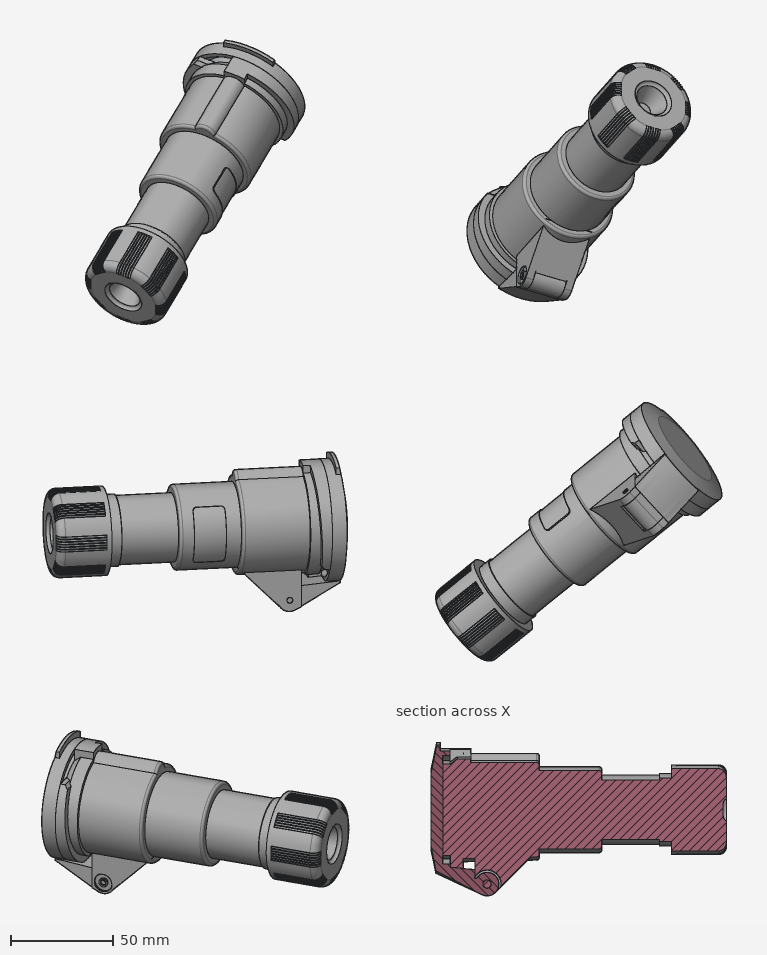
import cadquery as cq
import math


length = 144.3
gland_front = 27.0
gland_neck_front = 32.8
grip_front = 60.9
waist_front = 91.4
barrel_front = 124.8
collar_front = 131.5
lid_seat = 135.0
lid_cavity_floor = 138.5
lid_rim_front = 142.2

gland_radius = 22.0
gland_neck_radius = 17.8
grip_radius = 17.0
waist_radius = 21.1
barrel_radius = 24.7
collar_radius = 26.4
nose_radius = 24.0
lid_radius = 30.0
lid_cavity_radius = 27.9
lid_face_radius = 19.8
shoulder_fillet = 1.5

gland_fillet = 4.0
bore_radius = 8.2
bore_floor_radius = 4.3
bore_depth = 11.5
bore_lip = 1.7
knurl_groups = 8
knurl_grooves = 6
knurl_pitch = 1.3
knurl_width = 1.0
knurl_depth = 0.5
knurl_base_radius = gland_radius - gland_fillet - knurl_depth
knurl_length = 24.5

rib_radius = 6.0
rib_center_z = 21.5
key_width = 11.0
label_rear = 68.1
label_front = 84.0
label_height = 28.0
label_depth = 0.5
label_corner = 1.9
collar_gap_width = 20.2
collar_gap_radius = 25.4

ramp_end_z = 18.6
ramp_end_rear = 132.4
ramp_chamfer = 1.7
ramp_start_rear = 128.3

hinge_width = 25.1
pin_y = 116.9
pin_z = -36.3
hinge_radius = 5.8
pin_radius = 2.2
pin_overhang = 0.5
pin_tip_radius = 1.5
pin_socket_radius = 1.3
pin_socket_depth = 0.7
ear_front = 122.8
ear_rear_angle = 45.0
bracket_top_z = -18.8
knuckle_width = 17.0
knuckle_clearance = 1.0
knuckle_opening_top = pin_z + 2.9
pin_recess_radius = 4.6
pin_recess_depth = 1.2

arm_slope = 25.0
arm_top_front_z = -27.7
arm_top_rear_z = -29.2
arm_edge_front_z = -28.6
arm_edge_rear_z = -39.5
tab_radius = 32.98
tab_width = 26.8
tab_rear = 139.7
tab_center_x = 0.5


def lathe(points):
    """Solid of revolution about Y from (radius, y) points."""
    return cq.Workplane("XY").polyline(points).close().revolve(360, (0, 0, 0), (0, 1, 0))


def cylinder(radius, rear, front):
    """Cylinder on the Y axis between two stations."""
    return lathe([(0, rear), (radius, rear), (radius, front), (0, front)])


def side_plate(points, x_start, x_end):
    """Outline of (y, z) points extruded from x_start to x_end."""
    return cq.Workplane("YZ", origin=(x_start, 0, 0)).polyline(points).close().extrude(x_end - x_start)


def hinge_cylinder(radius, x_start, x_end):
    """Cylinder on the hinge pin axis."""
    return cq.Workplane("YZ", origin=(x_start, pin_y, pin_z)).circle(radius).extrude(x_end - x_start)


def hinge_tangent(angle):
    """Point (y, z) of the hinge round, turned by an angle from its lowest point towards +Y."""
    return (pin_y + hinge_radius * math.sin(angle), pin_z - hinge_radius * math.cos(angle))


def rounded_nut(radius):
    """Cable nut blank of the given radius, rounded at its cable end."""
    return cylinder(radius, 0, gland_front).faces("<Y").edges().fillet(gland_fillet)


def make_knurl_group():
    """Bars, side by side at the top of the nut, that cut one group of grooves."""
    middle = (knurl_grooves - 1) / 2
    centers = [((index - middle) * knurl_pitch, knurl_length / 2) for index in range(knurl_grooves)]
    return (
        cq.Workplane("XY", origin=(0, 0, knurl_base_radius))
        .pushPoints(centers)
        .rect(knurl_width, knurl_length)
        .extrude(gland_radius)
        .cut(rounded_nut(gland_radius - knurl_depth))
    )


def make_gland():
    """Rounded cable nut with knurl groups and a tapered cable bore."""
    nut = rounded_nut(gland_radius)
    knurl_group = make_knurl_group()
    for group in range(knurl_groups):
        angle = group * 360 / knurl_groups
        nut = nut.cut(knurl_group.rotate((0, 0, 0), (0, 1, 0), angle))
    bore = (
        cq.Workplane("XY")
        .lineTo(bore_radius + bore_lip, 0)
        .radiusArc((bore_radius, bore_lip), -bore_lip)
        .lineTo(bore_floor_radius, bore_depth)
        .lineTo(0, bore_depth)
        .close()
        .revolve(360, (0, 0, 0), (0, 1, 0))
    )
    return nut.cut(bore)


def make_waist():
    """Middle section with a shallow label recess wrapped round its +X side."""
    waist = cylinder(waist_radius, grip_front, waist_front).faces("<Y").edges().fillet(shoulder_fillet)
    window = (
        cq.Workplane("YZ")
        .center((label_rear + label_front) / 2, 0)
        .rect(label_front - label_rear, label_height)
        .extrude(lid_radius)
        .edges("|X")
        .fillet(label_corner)
    )
    return waist.cut(window.cut(cylinder(waist_radius - label_depth, grip_front, waist_front)))


def make_barrel():
    """Front barrel with the rounded rib along its top."""
    barrel = cylinder(barrel_radius, waist_front, barrel_front)
    rib = (
        cq.Workplane("XZ", origin=(0, barrel_front, rib_center_z))
        .circle(rib_radius)
        .extrude(barrel_front - waist_front)
    )
    return barrel.union(rib).faces("<Y").edges().fillet(shoulder_fillet)


def make_collar():
    """Collar thinned over the hinge, tapering to the nose inside the lid."""
    collar = lathe([
        (0, barrel_front),
        (collar_radius, barrel_front),
        (collar_radius, collar_front),
        (nose_radius, lid_seat),
        (nose_radius, lid_cavity_floor),
        (0, lid_cavity_floor),
    ])
    hinge_gap = (
        cq.Workplane("XY", origin=(0, ear_front, -lid_radius))
        .box(collar_gap_width, lid_seat - ear_front, lid_radius, centered=(True, False, False))
    )
    thin_wall = cylinder(collar_gap_radius, ear_front, collar_front).intersect(hinge_gap)
    gap_clearance = hinge_gap.cut(cylinder(collar_gap_radius, ear_front, lid_seat))
    return collar.cut(gap_clearance).union(thin_wall)


def make_ramps():
    """Two bayonet ramps half a turn apart, and the key at the top."""
    envelope = cylinder(lid_radius, barrel_front, lid_seat).cut(cylinder(nose_radius, barrel_front, lid_seat))
    ramp = side_plate(
        [
            (lid_seat, ramp_end_z),
            (ramp_end_rear, ramp_end_z),
            (ramp_end_rear - ramp_chamfer, ramp_end_z - ramp_chamfer),
            (ramp_start_rear, -lid_radius),
            (lid_seat, -lid_radius),
        ],
        -lid_radius,
        0,
    )
    key = cq.Workplane("XY", origin=(0, barrel_front, 0)).box(
        key_width, lid_seat - barrel_front, lid_radius, centered=(True, False, False)
    )
    opposite_ramp = ramp.rotate((0, 0, 0), (0, 1, 0), 180)
    return ramp.union(opposite_ramp).union(key).intersect(envelope)


def make_bracket():
    """Hinge bracket below the barrel, rounded about the pin axis."""
    front = math.radians(arm_slope)
    rear = math.radians(ear_rear_angle)
    front_tangent = hinge_tangent(front)
    rear_tangent = hinge_tangent(-rear)
    front_corner_z = front_tangent[1] + (ear_front - front_tangent[0]) * math.tan(front)
    rear_top_y = rear_tangent[0] - (bracket_top_z - rear_tangent[1]) / math.tan(rear)
    return (
        cq.Workplane("YZ", origin=(-hinge_width / 2, 0, 0))
        .moveTo(ear_front, bracket_top_z)
        .lineTo(ear_front, front_corner_z)
        .lineTo(*front_tangent)
        .threePointArc((pin_y, pin_z - hinge_radius), rear_tangent)
        .lineTo(rear_top_y, bracket_top_z)
        .close()
        .extrude(hinge_width)
    )


def make_knuckle_pocket():
    """Clearance for the lid knuckle, open towards the lid."""
    half_width = knuckle_width / 2
    pocket = hinge_cylinder(hinge_radius + knuckle_clearance, -half_width, half_width)
    opening = side_plate(
        [
            (pin_y, pin_z),
            (pin_y, knuckle_opening_top),
            (ear_front, knuckle_opening_top),
            (ear_front, pin_z - 2 * hinge_radius),
            (pin_y, pin_z - 2 * hinge_radius),
        ],
        -half_width,
        half_width,
    )
    return pocket.union(opening)


def make_arm():
    """Lid arm: a wedge with a rounded underside, ending in the hinge knuckle."""
    half_width = hinge_width / 2
    half_knuckle = knuckle_width / 2
    front_tangent = hinge_tangent(math.radians(arm_slope))
    slope = math.tan(math.radians(arm_slope))
    rear_bottom_z = front_tangent[1] + (ear_front - front_tangent[0]) * slope
    front_bottom_z = front_tangent[1] + (lid_rim_front - front_tangent[0]) * slope

    def arm_section(y, top_z, edge_z, bottom_z):
        return (
            cq.Workplane("XZ", origin=(0, y, 0))
            .moveTo(-half_width, top_z)
            .lineTo(-half_width, edge_z)
            .threePointArc((0, bottom_z), (half_width, edge_z))
            .lineTo(half_width, top_z)
            .close()
            .wires()
            .val()
        )

    wedge = cq.Solid.makeLoft(
        [
            arm_section(lid_rim_front, arm_top_front_z, arm_edge_front_z, front_bottom_z),
            arm_section(ear_front, arm_top_rear_z, arm_edge_rear_z, rear_bottom_z),
        ],
        True,
    )
    neck = side_plate(
        [
            (pin_y, pin_z),
            (pin_y, knuckle_opening_top),
            (ear_front, knuckle_opening_top),
            (ear_front, rear_bottom_z),
            front_tangent,
        ],
        -half_knuckle,
        half_knuckle,
    )
    knuckle = hinge_cylinder(hinge_radius, -half_knuckle, half_knuckle)
    pin_hole = hinge_cylinder(pin_radius, -half_knuckle, half_knuckle)
    return cq.Workplane(obj=wedge).union(neck).union(knuckle).cut(pin_hole)


def coned_disc(radius, rear, face_slope):
    """Disc whose front is flat in the middle and falls away as a cone to its rim."""
    rim_front = length - (radius - lid_face_radius) * face_slope
    return lathe([
        (0, rear),
        (radius, rear),
        (radius, rim_front),
        (lid_face_radius, length),
        (0, length),
    ])


def make_lid():
    """Round lid with a coned face, thumb tab and hinge arm."""
    face_slope = (length - lid_rim_front) / (lid_radius - lid_face_radius)
    disc = coned_disc(lid_radius, lid_seat, face_slope)
    tab_block = cq.Workplane("XY", origin=(tab_center_x, tab_rear, 0)).box(
        tab_width, length - tab_rear, tab_radius, centered=(True, False, False)
    )
    tab = coned_disc(tab_radius, tab_rear, face_slope).intersect(tab_block)
    cavity = cylinder(lid_cavity_radius, lid_seat, lid_cavity_floor)
    return disc.union(tab).cut(cavity).union(make_arm().cut(cavity))


def make_housing():
    """Connector housing from gland to collar, with hinge bracket and pin."""
    half_width = hinge_width / 2
    bracket = make_bracket().cut(make_knuckle_pocket())
    recess = hinge_cylinder(pin_recess_radius, -half_width, -half_width + pin_recess_depth)
    pin_bore = hinge_cylinder(pin_radius, -half_width, half_width)
    pin = (
        hinge_cylinder(pin_radius, -half_width, half_width)
        .union(hinge_cylinder(pin_tip_radius, half_width, half_width + pin_overhang))
        .cut(hinge_cylinder(pin_socket_radius, -half_width, -half_width + pin_socket_depth))
    )
    return (
        make_gland()
        .union(cylinder(gland_neck_radius, gland_front, gland_neck_front))
        .union(cylinder(grip_radius, gland_neck_front, grip_front))
        .union(make_waist())
        .union(make_barrel())
        .union(make_collar())
        .union(make_ramps())
        .union(bracket.cut(pin_bore).cut(recess).union(pin))
    )


lid = make_lid()
housing = make_housing().cut(lid)

result = cq.Compound.makeCompound([*housing.solids().vals(), *lid.solids().vals()])